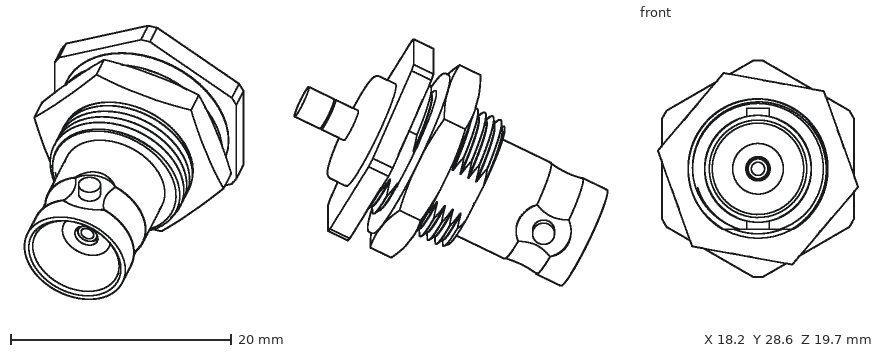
import cadquery as cq
import math


thread_front = 10.95
nut_front = 14.62
nut_rear = 17.5
washer_rear = 18.0
flange_front = 19.5
flange_rear = 21.6
hub_rear = 23.6
total_length = 28.6

barrel_diameter = 9.7
waist_start = 2.47
waist_end = 5.7
waist_edge_radius = 4.8
waist_middle_radius = 4.65

pin_station = (waist_start + waist_end) / 2
pin_diameter = 2.0
pin_span = 11.0
pad_diameter = 5.0
pad_span = 8.8

bore_diameter = 8.3
bore_mouth_diameter = 8.85
bore_mouth_depth = 0.3
bore_depth = 8.5
insulator_diameter = 4.6
insulator_front = 3.2
insulator_hole_diameter = 2.2
insulator_hole_depth = 4.0
contact_diameter = 2.0
contact_tip_diameter = 1.8
contact_recess = 0.3
contact_hole_diameter = 1.2
contact_hole_depth = 4.0

thread_diameter = 12.7
thread_pitch = 25.4 / 32
thread_depth = 0.61
thread_root_radius = thread_diameter / 2 - thread_depth
thread_half_angle = 30.0
thread_root_width = 0.06
thread_lead_chamfer = 0.42
last_root_station = 18.65
full_thread_turns = 11
runout_turns = 0.25
key_flat_height = 5.5

nut_across_flats = 16.0
nut_turn = 10.3
nut_face_diameter = 16.2
nut_chamfer_height = 0.37
nut_bore_diameter = 11.8
nut_bore_chamfer = 0.4
washer_diameter = 16.0
washer_fillet = 0.16

flange_across_flats = 17.45
flange_across_corners = 19.65
flange_seat_diameter = 16.0
flange_seat_height = 0.08
hub_diameter = 10.3
hub_fillet = 0.42
ferrule_diameter = 3.0
ferrule_groove_station = 25.9
ferrule_groove_width = 0.14
ferrule_groove_depth = 0.1


def cylinder(diameter, start, end):
    """Solid cylinder on the Y axis between two stations."""
    plane = cq.Workplane("XZ", origin=(0, start, 0))
    return plane.circle(diameter / 2).extrude(start - end)


def hexagon(across_flats, start, end, turn):
    """Hexagonal prism on the Y axis with corners on the X axis, turned about Y."""
    corner_circle = across_flats / math.cos(math.radians(30))
    prism = cq.Workplane("XZ", origin=(0, start, 0)).polygon(6, corner_circle).extrude(start - end)
    return prism.rotate((0, 0, 0), (0, 1, 0), turn)


def revolve_about_axis(profile):
    """Revolve a closed (radius, station) profile about the Y axis."""
    return profile.close().revolve(360, (0, 0, 0), (0, 1, 0))


def make_barrel():
    waist_profile = (
        cq.Workplane("XY")
        .moveTo(barrel_diameter, waist_start)
        .lineTo(waist_edge_radius, waist_start)
        .threePointArc((waist_middle_radius, pin_station), (waist_edge_radius, waist_end))
        .lineTo(barrel_diameter, waist_end)
    )
    barrel = cylinder(barrel_diameter, 0, thread_front).cut(revolve_about_axis(waist_profile))
    for side in (1, -1):
        pad_plane = cq.Workplane("XY", origin=(0, pin_station, side * pad_span / 2))
        barrel = barrel.cut(pad_plane.circle(pad_diameter / 2).extrude(side * barrel_diameter))
    return barrel


def make_pins():
    """Both bayonet pins as one bar; the socket cut later splits it."""
    bar = cq.Workplane("XY", origin=(0, pin_station, -pin_span / 2))
    return bar.circle(pin_diameter / 2).extrude(pin_span)


def make_thread_groove():
    """Right-handed V groove that starts ahead of the thread's front face."""
    overrun = 0.02
    root_half_width = thread_root_width / 2
    flank_run = (thread_depth + overrun) * math.tan(math.radians(thread_half_angle))
    outer_radius = thread_diameter / 2 + overrun
    outer_half_width = root_half_width + flank_run
    groove_start = last_root_station - full_thread_turns * thread_pitch
    groove_length = (full_thread_turns + runout_turns) * thread_pitch
    path = cq.Wire.makeHelix(thread_pitch, groove_length, thread_root_radius)
    return (
        cq.Workplane("XZ")
        .moveTo(thread_root_radius, root_half_width)
        .lineTo(outer_radius, outer_half_width)
        .lineTo(outer_radius, -outer_half_width)
        .lineTo(thread_root_radius, -root_half_width)
        .close()
        .sweep(cq.Workplane(obj=path), isFrenet=True)
        .rotate((0, 0, 0), (1, 0, 0), -90)
        .translate((0, groove_start, 0))
    )


def make_threaded_body():
    """Threaded cylinder with a chamfered lead and a key flat along its underside."""
    blank = cylinder(thread_diameter, thread_front, flange_front)
    blank = blank.faces("<Y").edges().chamfer(thread_lead_chamfer)
    side = thread_diameter
    length = flange_front - thread_front
    below_flat = cq.Workplane("XY").box(side, length, side, centered=(True, False, False))
    below_flat = below_flat.translate((0, thread_front, -key_flat_height - side))
    return blank.cut(make_thread_groove()).cut(below_flat)


def make_nut():
    chamfer_run = nut_across_flats / math.sqrt(3) - nut_face_diameter / 2
    face_radius = nut_face_diameter / 2
    reach = 2
    outer_radius = face_radius + reach * chamfer_run
    drop = reach * nut_chamfer_height
    envelope_profile = cq.Workplane("XY").polyline(
        [
            (0, nut_front),
            (face_radius, nut_front),
            (outer_radius, nut_front + drop),
            (outer_radius, nut_rear - drop),
            (face_radius, nut_rear),
            (0, nut_rear),
        ]
    )
    prism = hexagon(nut_across_flats, nut_front, nut_rear, nut_turn)
    bore = cylinder(nut_bore_diameter, nut_front, nut_rear)
    nut = prism.intersect(revolve_about_axis(envelope_profile)).cut(bore)
    return nut.faces("<Y").edges("%CIRCLE").edges(cq.selectors.RadiusNthSelector(0)).chamfer(nut_bore_chamfer)


def make_washer():
    disc = cylinder(washer_diameter, nut_rear, washer_rear).edges().fillet(washer_fillet)
    return disc.cut(cylinder(nut_bore_diameter, nut_rear, washer_rear))


def make_flange():
    """Hexagon with a corner up, its six corners cut off flat, and a low round seat in front."""
    hexagon_front = flange_front + flange_seat_height
    prism = hexagon(flange_across_flats, hexagon_front, flange_rear, 30)
    corner_trim = hexagon(flange_across_corners, hexagon_front, flange_rear, 0)
    seat = cylinder(flange_seat_diameter, flange_front, hexagon_front)
    return prism.intersect(corner_trim).union(seat)


def make_hub():
    return cylinder(hub_diameter, flange_rear, hub_rear).faces(">Y").edges().fillet(hub_fillet)


def make_ferrule():
    ferrule = cylinder(ferrule_diameter, hub_rear, total_length)
    groove_end = ferrule_groove_station + ferrule_groove_width
    groove = cylinder(ferrule_diameter, ferrule_groove_station, groove_end)
    core = cylinder(ferrule_diameter - 2 * ferrule_groove_depth, ferrule_groove_station, groove_end)
    return ferrule.cut(groove.cut(core))


def make_insulator():
    hole_end = insulator_front + insulator_hole_depth
    insulator = cylinder(insulator_diameter, insulator_front, bore_depth)
    return insulator.cut(cylinder(insulator_hole_diameter, insulator_front, hole_end))


def make_contact():
    """Female centre contact with a chamfered tip."""
    tip = insulator_front + contact_recess
    tip_chamfer = (contact_diameter - contact_tip_diameter) / 2
    contact = cylinder(contact_diameter, tip, bore_depth).faces("<Y").edges().chamfer(tip_chamfer)
    return contact.cut(cylinder(contact_hole_diameter, tip, tip + contact_hole_depth))


def make_socket():
    """Empty space inside the mating end: the bore and its flared mouth, less the insulator."""
    profile = cq.Workplane("XY").polyline(
        [
            (0, 0),
            (bore_mouth_diameter / 2, 0),
            (bore_diameter / 2, bore_mouth_depth),
            (bore_diameter / 2, bore_depth),
            (0, bore_depth),
        ]
    )
    return revolve_about_axis(profile).cut(make_insulator()).cut(make_contact())


body = make_threaded_body()
body = body.union(make_nut())
body = body.union(make_washer())
body = body.union(make_barrel()).union(make_pins())
body = body.union(make_flange()).union(make_hub()).union(make_ferrule())
result = body.cut(make_socket())